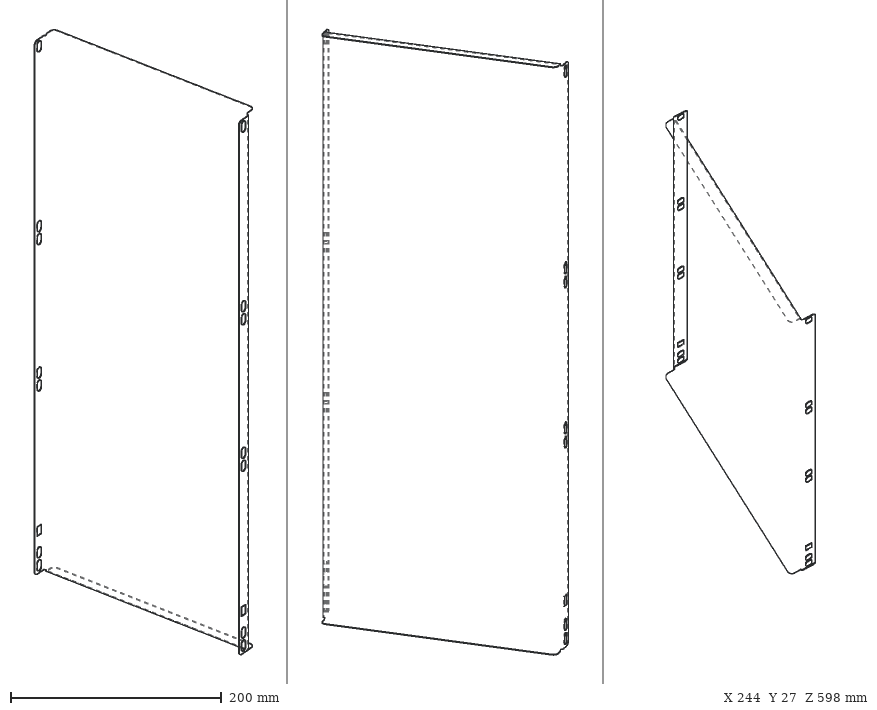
import cadquery as cq
import math

width = 244.0
height = 598.0
depth = 27.0

sheet = 1.0
bend_inner = sheet
bend_outer = bend_inner + sheet

side_reach = 15.0
end_reach = depth - side_reach

flange_inset = 2.5
end_corner = 5.0
side_corner = 4.0

hole_y = -8.0
slot_width = 6.5
slot_length = 12.0
slot_pitch = 14.5
single_slot_z = 587.0
slot_pair_middles = (18.0, 217.5, 380.5)
window_height = 10.0
window_z = 49.5


def bent_strip(plane, reach, length):
    """Bend and flange, centred along the plane's normal.

    The bend starts on the plane's first axis at one bend radius from the origin,
    curves round to the second axis, and the flange runs along that axis to `reach`.
    """
    diagonal = math.sqrt(0.5)
    outer_middle = bend_outer - bend_outer * diagonal
    inner_middle = bend_outer - bend_inner * diagonal
    return (
        cq.Workplane(plane)
        .moveTo(bend_outer, 0)
        .threePointArc((outer_middle, outer_middle), (0, bend_outer))
        .lineTo(0, reach)
        .lineTo(sheet, reach)
        .lineTo(sheet, bend_outer)
        .threePointArc((inner_middle, inner_middle), (bend_outer, sheet))
        .close()
        .extrude(length / 2, both=True)
    )


def panel():
    """Flat sheet between the four bends."""
    flat_width = width - 2 * bend_outer
    flat_height = height - 2 * bend_outer
    return cq.Workplane("XY").box(flat_width, sheet, flat_height).translate((0, sheet / 2, height / 2))


def side_flange():
    """Left flange, bent towards -Y from the back face of the panel."""
    corner = cq.Plane(origin=(-width / 2, sheet, height / 2), xDir=(1, 0, 0), normal=(0, 0, -1))
    flange = bent_strip(corner, side_reach + sheet, height - 2 * flange_inset)
    return flange.edges("|X and <Y").fillet(side_corner)


def end_flange():
    """Bottom flange, bent towards +Y from the front face of the panel."""
    corner = cq.Plane(origin=(0, 0, 0), xDir=(0, 0, 1), normal=(-1, 0, 0))
    flange = bent_strip(corner, end_reach, width - 2 * flange_inset)
    return flange.edges("|Z and >Y").fillet(end_corner)


def holes():
    """Cutters that pass through both side flanges."""
    slot_heights = [single_slot_z]
    for middle in slot_pair_middles:
        slot_heights += [middle - slot_pitch / 2, middle + slot_pitch / 2]
    centers = [(hole_y, z) for z in slot_heights]
    middle_plane = cq.Workplane("YZ")
    slots = middle_plane.pushPoints(centers).slot2D(slot_length, slot_width, 90).extrude(width, both=True)
    window = middle_plane.center(hole_y, window_z).rect(slot_width, window_height).extrude(width, both=True)
    return slots.union(window)


left_flange = side_flange()
bottom_flange = end_flange()
result = (
    panel()
    .union(left_flange)
    .union(left_flange.mirror("YZ"))
    .union(bottom_flange)
    .union(bottom_flange.mirror("XY", (0, 0, height / 2)))
    .cut(holes())
)